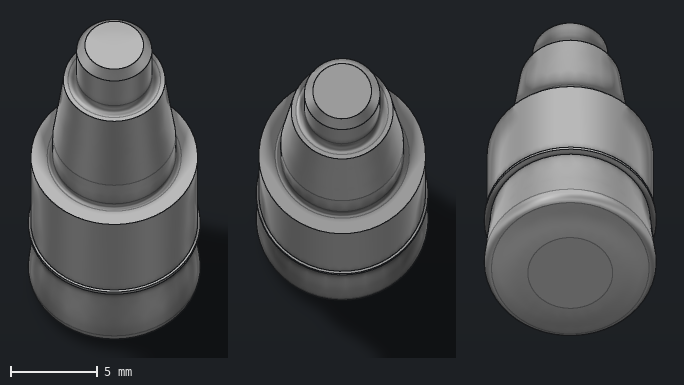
import cadquery as cq
import math

TOTAL_HEIGHT = 23.5
DOME_HEIGHT = 0.5
FOOT_EDGE_HEIGHT = 1.27
JOINT_HEIGHT = 5.48
COLLAR_THICKNESS = 0.2
BARREL_TOP = 12.3
TAPER_START = 14.43
SHOULDER_HEIGHT = 20.02

COLLAR_RADIUS = 10.0 / 2
BARREL_RADIUS = 9.7 / 2
TIP_RADIUS = 4.4 / 2
FOOT_NECK_RADIUS = 4.65
DOME_EDGE_RADIUS = 4.58
DOME_FLAT_RADIUS = 2.47
NECK_BASE_RADIUS = 3.6
TAPER_BASE_RADIUS = 3.57
SHOULDER_RADIUS = 2.95

TIP_CHAMFER = 0.5
TIP_FILLET = 0.5
NECK_FILLET = 0.3

ARC_MIDPOINT = math.sqrt(0.5)


def revolve_profile(profile):
    """Turn a closed radius-height profile about the Z axis into a solid."""
    return profile.close().revolve(360, (0, 0, 0), (0, 1, 0))


def concave_fillet(profile, wall_radius, floor_height, fillet):
    """Continue a profile inward along a floor and up a quarter arc onto a wall."""
    arc_offset = fillet * (1 - ARC_MIDPOINT)
    return (
        profile.lineTo(wall_radius + fillet, floor_height)
        .threePointArc(
            (wall_radius + arc_offset, floor_height + arc_offset),
            (wall_radius, floor_height + fillet),
        )
    )


def make_foot():
    """Tapered foot with a rounded edge and a domed underside, flat in the middle."""
    profile = (
        cq.Workplane("XZ")
        .lineTo(DOME_FLAT_RADIUS, 0)
        .tangentArcPoint((DOME_EDGE_RADIUS, DOME_HEIGHT), relative=False)
        .tangentArcPoint((COLLAR_RADIUS, FOOT_EDGE_HEIGHT), relative=False)
        .lineTo(FOOT_NECK_RADIUS, JOINT_HEIGHT)
        .lineTo(0, JOINT_HEIGHT)
    )
    return revolve_profile(profile)


def make_plug():
    """Stepped plug: collar, barrel, tapered neck and chamfered tip."""
    collar_top = JOINT_HEIGHT + COLLAR_THICKNESS
    profile = (
        cq.Workplane("XZ")
        .moveTo(0, JOINT_HEIGHT)
        .lineTo(COLLAR_RADIUS, JOINT_HEIGHT)
        .lineTo(COLLAR_RADIUS, collar_top)
        .lineTo(BARREL_RADIUS, collar_top)
        .lineTo(BARREL_RADIUS, BARREL_TOP)
    )
    profile = concave_fillet(profile, NECK_BASE_RADIUS, BARREL_TOP, NECK_FILLET)
    profile = profile.lineTo(TAPER_BASE_RADIUS, TAPER_START).lineTo(SHOULDER_RADIUS, SHOULDER_HEIGHT)
    profile = concave_fillet(profile, TIP_RADIUS, SHOULDER_HEIGHT, TIP_FILLET)
    profile = (
        profile.lineTo(TIP_RADIUS, TOTAL_HEIGHT - TIP_CHAMFER)
        .lineTo(TIP_RADIUS - TIP_CHAMFER, TOTAL_HEIGHT)
        .lineTo(0, TOTAL_HEIGHT)
    )
    return revolve_profile(profile)


foot = make_foot()
plug = make_plug()
result = cq.Compound.makeCompound([foot.val(), plug.val()])